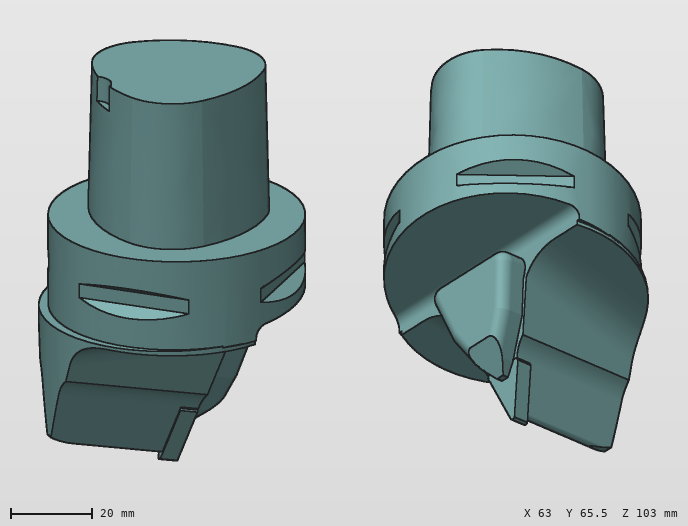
import cadquery as cq
import math


shank_height = 38.0
shank_lobe_reach = 23.4
shank_flank_reach = 20.6
lobe_center_distance = 8.4
shank_taper = 0.9
keyway_radius = 4.9
keyway_depth = 6.4
keyway_floor_y = -17.8

flange_radius = 31.5
margin = 1.0
flange_bottom_z = -23.5
groove_center_z = -11.9
groove_floor_height = 3.6
groove_floor_distance = 28.0
groove_side_angle = 31.0

disc_shift = 2.5
stock_front_top_z = -23.0
stock_back_top_z = flange_bottom_z
stock_front_bottom_z = -24.8
stock_back_bottom_z = -24.0
stock_front_y = 12.4
stock_back_y = -39.1
neck_fillet = 10.3

front_wall_y = 8.2
clearance_outer_z = -17.8
clearance_inner_z = -20.0
clearance_fillet = 3.0
front_limit_y = 41.2

face_tilt = 14.0
tip_y = -0.1
tip_z = -65.0

blade_tip_half_width = 0.9
blade_tip_height = 2.0
blade_tip_crown = 0.6
step_low_half_width = 5.0
step_low_height = 15.7
step_high_half_width = 8.0
step_high_height = 20.2
blade_top_half_width = 15.8
blade_top_height = 45.1
blade_length = 51.5
blade_allowance = 15.5

relief_run = 26.8
relief_middle = (-30.1, -55.2)
relief_end = (-34.0, -53.1)

insert_thickness = 4.7
insert_tip_half_width = 0.6
insert_tip_crown = 0.3
insert_shoulder_half_width = 5.0
insert_shoulder_height = 14.5
insert_top_half_width = 4.7
insert_height = 15.3

clamp_top_half_width = 13.4
clamp_shoulder_half_width = 9.0
clamp_nose_half_width = 3.4
clamp_tip_half_width = 1.0
clamp_top_height = 41.6
clamp_shoulder_height = 25.3
clamp_nose_height = 14.8
clamp_bottom_height = 11.6
clamp_thickness = 7.2
clamp_root = 0.5
clamp_tip_thickness = 1.8
clamp_ramp_height = 20.0
clamp_edge_fillet = 2.9
clamp_corner_fillet = 3.1


def face_point(height, outward=0.0):
    """(Y, Z) of a point up the cutting face and out in front of it."""
    tilt = math.radians(face_tilt)
    y = tip_y + height * math.sin(tilt) + outward * math.cos(tilt)
    z = tip_z + height * math.cos(tilt) - outward * math.sin(tilt)
    return y, z


def face_plane():
    """Cutting face plane: local Y runs up the face, local Z into the blade."""
    tilt = math.radians(face_tilt)
    normal = (0, -math.cos(tilt), math.sin(tilt))
    return cq.Plane(origin=(0, tip_y, tip_z), xDir=(1, 0, 0), normal=normal)


def polar(distance, degrees):
    """(X, Y) of a point at a distance and angle from the axis."""
    angle = math.radians(degrees)
    return distance * math.cos(angle), distance * math.sin(angle)


def lobed_wire(z, taper):
    """Three lobe arcs and three flatter flank arcs, all tangent, one lobe towards +Y."""
    lobe_radius = shank_lobe_reach - lobe_center_distance
    gap = shank_flank_reach - lobe_radius
    flank_center_distance = (lobe_center_distance**2 - gap**2) / (2 * gap - lobe_center_distance)
    lobe_center = polar(lobe_center_distance, 0)
    flank_center = polar(flank_center_distance, 240)
    seam_direction = math.atan2(lobe_center[1] - flank_center[1], lobe_center[0] - flank_center[0])
    seam_x = lobe_center[0] + (lobe_radius - taper) * math.cos(seam_direction)
    seam_y = lobe_center[1] + (lobe_radius - taper) * math.sin(seam_direction)
    seam_distance = math.hypot(seam_x, seam_y)
    seam_angle = math.degrees(math.atan2(seam_y, seam_x))

    outline = cq.Workplane("XY", origin=(0, 0, z)).moveTo(*polar(seam_distance, 90 - seam_angle))
    for lobe in (90, 210, 330):
        lobe_end = polar(seam_distance, lobe + seam_angle)
        next_lobe_start = polar(seam_distance, lobe + 120 - seam_angle)
        outline = outline.threePointArc(polar(shank_lobe_reach - taper, lobe), lobe_end)
        outline = outline.threePointArc(polar(shank_flank_reach - taper, lobe + 60), next_lobe_start)
    return outline.close().val()


def make_shank():
    wires = [lobed_wire(0, 0), lobed_wire(shank_height, shank_taper)]
    shank = cq.Workplane(obj=cq.Solid.makeLoft(wires, True))
    keyway = (
        cq.Workplane("XY", origin=(0, keyway_floor_y - keyway_radius, shank_height - keyway_depth))
        .circle(keyway_radius)
        .extrude(keyway_depth)
    )
    return shank.cut(keyway)


def make_groove_cutter():
    """Long prism across the +X side of the flange, widening outwards."""
    outer_distance = flange_radius + margin
    floor_half = groove_floor_height / 2
    rise = (outer_distance - groove_floor_distance) * math.tan(math.radians(groove_side_angle))
    outer_half = floor_half + rise
    return (
        cq.Workplane("XZ", origin=(0, 0, groove_center_z))
        .moveTo(groove_floor_distance, -floor_half)
        .lineTo(outer_distance, -outer_half)
        .lineTo(outer_distance, outer_half)
        .lineTo(groove_floor_distance, floor_half)
        .close()
        .extrude(flange_radius, both=True)
    )


def make_flange():
    flange = cq.Workplane("XY").circle(flange_radius).extrude(flange_bottom_z)
    cutter = make_groove_cutter()
    for angle in (45, 135, 225, 315):
        flange = flange.cut(cutter.rotate((0, 0, 0), (0, 0, 1), angle))
    return flange


def make_disc_slab():
    """Slab whose top and bottom lean slightly; trimmed round afterwards."""
    return (
        cq.Workplane("YZ")
        .moveTo(stock_front_y, stock_front_top_z)
        .lineTo(stock_back_y, stock_back_top_z)
        .lineTo(stock_back_y, stock_back_bottom_z)
        .lineTo(stock_front_y, stock_front_bottom_z)
        .close()
        .extrude(flange_radius + margin, both=True)
    )


def make_blade():
    """Stepped wedge swept square to the cutting face."""
    crown_radius = (blade_tip_half_width**2 + blade_tip_crown**2) / (2 * blade_tip_crown)
    half_turn = math.asin(blade_tip_half_width / crown_radius) / 2
    half = (
        cq.Workplane(face_plane())
        .workplane(offset=-blade_allowance)
        .moveTo(0, blade_tip_height)
        .threePointArc(
            (crown_radius * math.sin(half_turn), blade_tip_height + crown_radius * (1 - math.cos(half_turn))),
            (blade_tip_half_width, blade_tip_height + blade_tip_crown),
        )
        .lineTo(step_low_half_width, step_low_height)
        .tangentArcPoint((step_high_half_width, step_high_height), relative=False)
        .lineTo(blade_top_half_width, blade_top_height)
        .lineTo(0, blade_top_height)
        .close()
        .extrude(blade_allowance + blade_length)
    )
    return half.union(half.mirror("YZ"))


def make_head():
    """Disc and blade joined by large fillets and trimmed to the disc's round outline."""
    below_disc_top = (
        cq.Workplane("YZ")
        .moveTo(stock_front_y, stock_front_top_z)
        .lineTo(stock_back_y, stock_back_top_z)
        .lineTo(stock_back_y, tip_z)
        .lineTo(stock_front_y, tip_z)
        .close()
        .extrude(flange_radius, both=True)
    )
    trim = cq.Workplane("XY", origin=(0, -disc_shift, 0)).circle(flange_radius).extrude(tip_z)
    head = make_disc_slab().union(make_blade().intersect(below_disc_top))
    corner = cq.selectors.BoxSelector(
        (-blade_top_half_width, stock_back_y, stock_front_bottom_z - margin),
        (blade_top_half_width, stock_front_y, stock_back_bottom_z),
    )
    head = head.edges(corner).fillet(neck_fillet)
    return head.intersect(trim)


def make_front_clearance():
    """Space ahead of the cutting face and under the front of the flange."""
    wall_foot_height = (front_wall_y - tip_y) / math.sin(math.radians(face_tilt))
    wall_foot = face_point(wall_foot_height)
    face_bottom = face_point(-margin)
    upper = (
        cq.Workplane("YZ")
        .moveTo(front_limit_y, clearance_outer_z)
        .lineTo(front_wall_y, clearance_inner_z)
        .lineTo(front_wall_y, face_bottom[1])
        .lineTo(front_limit_y, face_bottom[1])
        .close()
        .extrude(front_limit_y, both=True)
        .edges("|X and <Y")
        .edges(">Z")
        .fillet(clearance_fillet)
    )
    lower = (
        cq.Workplane("YZ")
        .polyline([wall_foot, face_bottom, (front_limit_y, face_bottom[1]), (front_limit_y, wall_foot[1])])
        .close()
        .extrude(front_limit_y, both=True)
    )
    return upper.union(lower)


def make_back_relief():
    """Wedge of space below the lower back corner of the blade."""
    relief_start = face_point(blade_tip_height, -relief_run)
    return (
        cq.Workplane("YZ")
        .moveTo(*relief_start)
        .threePointArc(relief_middle, relief_end)
        .lineTo(relief_end[0], tip_z)
        .lineTo(relief_start[0], tip_z)
        .close()
        .extrude(flange_radius, both=True)
    )


def make_clamp():
    """Finger with a tapered nose, rounded along its outer edges."""
    right_side = [
        (clamp_tip_half_width, clamp_bottom_height),
        (clamp_nose_half_width, clamp_nose_height),
        (clamp_shoulder_half_width, clamp_shoulder_height),
        (clamp_top_half_width, clamp_top_height),
    ]
    left_side = [(-x, height) for x, height in reversed(right_side)]
    clamp = (
        cq.Workplane(face_plane())
        .workplane(offset=clamp_root)
        .polyline(right_side + left_side)
        .close()
        .extrude(-clamp_root - clamp_thickness)
    )
    across_face = cq.selectors.ParallelDirSelector(face_plane().zDir)
    clamp = clamp.edges(across_face).edges(">Z").fillet(clamp_corner_fillet)
    nose_space = (
        cq.Workplane("YZ")
        .polyline([
            face_point(clamp_ramp_height, clamp_thickness),
            face_point(clamp_bottom_height, clamp_tip_thickness),
            face_point(clamp_bottom_height, clamp_thickness),
        ])
        .close()
        .extrude(clamp_top_half_width, both=True)
    )
    clamp = clamp.cut(nose_space)
    outer_face = cq.selectors.DirectionMinMaxSelector(face_plane().zDir, False)
    return clamp.faces(outer_face).edges("not <Z").fillet(clamp_edge_fillet)


def make_insert():
    return (
        cq.Workplane(face_plane())
        .moveTo(-insert_tip_half_width, insert_tip_crown)
        .threePointArc((0, 0), (insert_tip_half_width, insert_tip_crown))
        .lineTo(insert_shoulder_half_width, insert_shoulder_height)
        .lineTo(insert_top_half_width, insert_height)
        .lineTo(-insert_top_half_width, insert_height)
        .lineTo(-insert_shoulder_half_width, insert_shoulder_height)
        .close()
        .extrude(insert_thickness)
    )


insert = make_insert()
holder = make_flange().union(make_head())
holder = holder.cut(make_front_clearance()).cut(make_back_relief())
holder = holder.union(make_shank()).union(make_clamp()).cut(insert)

result = cq.Compound.makeCompound([holder.val(), insert.val()])